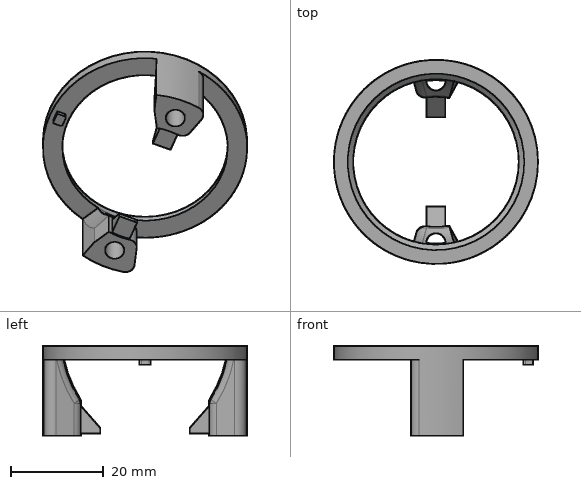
import cadquery as cq
import math

OUTER_RADIUS = 44.0 / 2
BORE_RADIUS = 35.6 / 2
RING_HEIGHT = 3.0
BORE_CHAMFER = 1.2

LEG_LENGTH = 16.4
LEG_INNER_RADIUS = 14.0
LEG_WIDTH = 11.8
LEG_HALF_ANGLE = math.degrees(math.asin(LEG_WIDTH / 2 / OUTER_RADIUS))
SHOULDER_Z = -8.75
SHOULDER_CURVE_RADIUS = 25.0
LEG_FILLET = 2.0
BEVEL_ACROSS = 0.95
BEVEL_ALONG = 4.0

HOLE_DIAMETER = 4.1
HOLE_CENTER_RADIUS = 17.45
HOLE_DEPTH = 15.35

BARB_WIDTH = 4.1
BARB_TIP_RADIUS = 9.6
BARB_TIP_HEIGHT = 1.2
BARB_BOTTOM_CLEARANCE = 0.5
BARB_BOTTOM_Z = -LEG_LENGTH + BARB_BOTTOM_CLEARANCE
BARB_TOP_Z = -9.9
BARB_TOP_RADIUS = 13.8
BARB_EMBED = 1.0

PEG_INNER_X = 18.78
PEG_OUTER_RADIUS = 20.9
PEG_WIDTH = 2.5
PEG_HEIGHT = 1.1
PEG_FILLET = 0.45


def shoulder_midpoint():
    """Point halfway along the concave arc from the inner wall up to the ring bore."""
    rise = -SHOULDER_Z
    run = BORE_RADIUS - LEG_INNER_RADIUS
    half_chord = math.hypot(run, rise) / 2
    sagitta = SHOULDER_CURVE_RADIUS - math.sqrt(SHOULDER_CURVE_RADIUS**2 - half_chord**2)
    mid_radius = (LEG_INNER_RADIUS + BORE_RADIUS) / 2
    mid_z = SHOULDER_Z / 2
    return (
        mid_radius + sagitta * rise / (2 * half_chord),
        mid_z - sagitta * run / (2 * half_chord),
    )


def leg_corner(radius, side):
    """Plan point on one radial side (-1 or +1) of the leg that is centred on the -Y axis."""
    angle = math.radians(LEG_HALF_ANGLE)
    return (side * radius * math.sin(angle), -radius * math.cos(angle))


def make_leg_blank():
    """Sector of a tube whose inner top is hollowed by a concave surface of revolution."""
    sector = (
        cq.Workplane("XY")
        .moveTo(*leg_corner(OUTER_RADIUS, -1))
        .threePointArc((0, -OUTER_RADIUS), leg_corner(OUTER_RADIUS, 1))
        .lineTo(*leg_corner(LEG_INNER_RADIUS, 1))
        .threePointArc((0, -LEG_INNER_RADIUS), leg_corner(LEG_INNER_RADIUS, -1))
        .close()
        .extrude(-LEG_LENGTH)
    )
    hollow = (
        cq.Workplane("XZ")
        .moveTo(0, 0)
        .lineTo(0, SHOULDER_Z)
        .lineTo(LEG_INNER_RADIUS, SHOULDER_Z)
        .threePointArc(shoulder_midpoint(), (BORE_RADIUS, 0))
        .close()
        .revolve(360, (0, 0), (0, 1))
    )
    return sector.cut(hollow)


def shape_leg_edges(leg):
    """Bevel the +X inner edges, then round the -X edges and the top of the inner wall."""
    inner_half_width = LEG_INNER_RADIUS * math.sin(math.radians(LEG_HALF_ANGLE))
    margin = 1.0
    front_y = -OUTER_RADIUS - margin
    back_y = -LEG_INNER_RADIUS + margin
    bevel_edges = cq.selectors.BoxSelector(
        (inner_half_width - margin, -BORE_RADIUS, -LEG_LENGTH + margin),
        (LEG_WIDTH / 2, back_y, -margin),
    )
    round_edges = cq.selectors.BoxSelector(
        (-LEG_WIDTH / 2 - margin, front_y, -LEG_LENGTH + margin),
        (margin, back_y, -margin),
    )
    beveled = leg.edges(bevel_edges).chamfer(BEVEL_ALONG, BEVEL_ACROSS)
    return beveled.edges(round_edges).fillet(LEG_FILLET)


def make_barb():
    """Wedge with a sloping top, rooted inside the inner wall of the leg."""
    slope = (BARB_TOP_Z - BARB_BOTTOM_Z - BARB_TIP_HEIGHT) / (BARB_TOP_RADIUS - BARB_TIP_RADIUS)
    root_radius = BARB_TOP_RADIUS + BARB_EMBED
    root_z = BARB_TOP_Z + slope * BARB_EMBED
    outline = [
        (-BARB_TIP_RADIUS, BARB_BOTTOM_Z),
        (-BARB_TIP_RADIUS, BARB_BOTTOM_Z + BARB_TIP_HEIGHT),
        (-root_radius, root_z),
        (-root_radius, BARB_BOTTOM_Z),
    ]
    return cq.Workplane("YZ").polyline(outline).close().extrude(BARB_WIDTH / 2, both=True)


def make_leg():
    hole = (
        cq.Workplane("XY", origin=(0, 0, -LEG_LENGTH))
        .center(0, -HOLE_CENTER_RADIUS)
        .circle(HOLE_DIAMETER / 2)
        .extrude(HOLE_DEPTH)
    )
    return shape_leg_edges(make_leg_blank()).union(make_barb()).cut(hole)


def make_peg():
    """Block with rounded inner corners and an outer face concentric with the ring."""
    block = (
        cq.Workplane("XY")
        .moveTo((PEG_INNER_X + OUTER_RADIUS) / 2, 0)
        .rect(OUTER_RADIUS - PEG_INNER_X, PEG_WIDTH)
        .extrude(-PEG_HEIGHT)
        .edges("|Z and <X")
        .fillet(PEG_FILLET)
    )
    return block.intersect(cq.Workplane("XY").circle(PEG_OUTER_RADIUS).extrude(-PEG_HEIGHT))


def make_bore():
    """Cutter for the bore of the ring, widening to a chamfer at the top."""
    bore = cq.Workplane("XY").circle(BORE_RADIUS).extrude(RING_HEIGHT)
    countersink = (
        cq.Workplane("XY", origin=(0, 0, RING_HEIGHT - BORE_CHAMFER))
        .circle(BORE_RADIUS)
        .workplane(offset=BORE_CHAMFER)
        .circle(BORE_RADIUS + BORE_CHAMFER)
        .loft(ruled=True)
    )
    return bore.union(countersink)


def make_body():
    """Ring and legs carved from one cylinder, so that their outer face is continuous."""
    leg = make_leg()
    stock = (
        cq.Workplane("XY", origin=(0, 0, -LEG_LENGTH))
        .circle(OUTER_RADIUS)
        .extrude(LEG_LENGTH + RING_HEIGHT)
    )
    below_ring = cq.Workplane("XY").circle(OUTER_RADIUS).extrude(-LEG_LENGTH)
    waste = below_ring.cut(leg).cut(leg.mirror("XZ"))
    return stock.cut(waste).cut(make_bore())


result = make_body().union(make_peg())